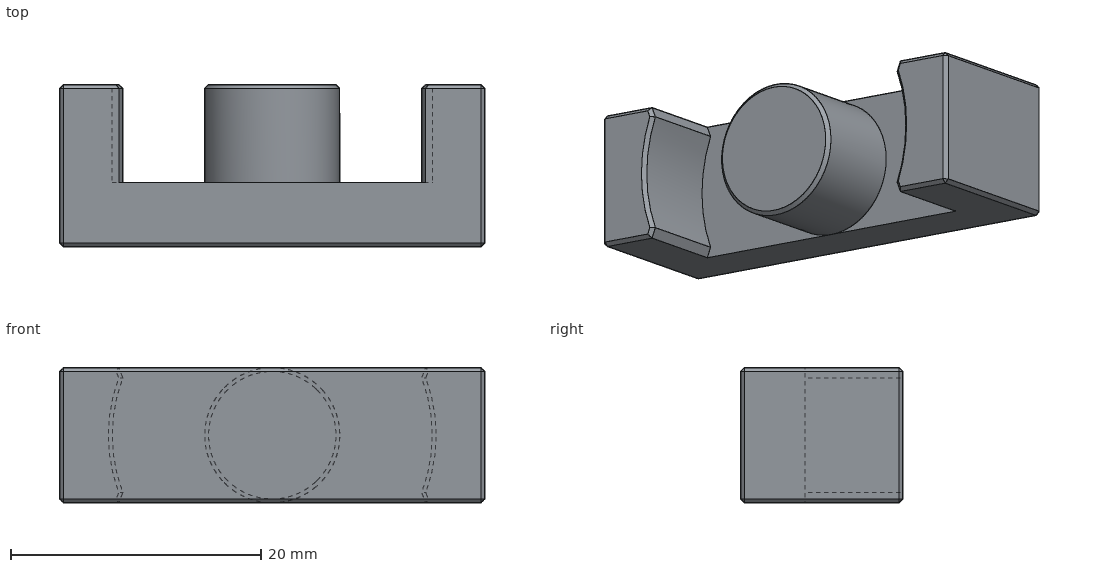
import cadquery as cq

length = 34.0
depth = 13.0
height = 10.8

window_diameter = 25.6
window_depth = 7.82
post_diameter = 10.8

flare_mouth_width = 24.55
flare_throat_width = 23.9
flare_height = 0.8

edge_chamfer = 0.3
bevel_angle = 45

back_thickness = depth - window_depth


def window_floor():
    """Workplane on the window floor, facing +Y, with vertical sketch positions along Z."""
    plane = cq.Plane(origin=(0, back_thickness, 0), xDir=(-1, 0, 0), normal=(0, 1, 0))
    return cq.Workplane(plane)


def flare_outline(sketch, side):
    """Wedge that widens the window at the top (side=1) or bottom (side=-1) face."""
    mouth_z = side * height / 2
    throat_z = side * (height / 2 - flare_height)
    outline = [
        (-flare_mouth_width / 2, mouth_z),
        (flare_mouth_width / 2, mouth_z),
        (flare_throat_width / 2, throat_z),
        (-flare_throat_width / 2, throat_z),
    ]
    return sketch.polyline(outline).close()


def window_cutters():
    """Solids that open the window, each spreading into a bevel at the leg ends."""
    cutters = []
    leg_end = window_floor().workplane(offset=window_depth - edge_chamfer)
    for sketch, distance, taper in (
        (window_floor(), window_depth, 0),
        (leg_end, edge_chamfer, -bevel_angle),
    ):
        cutters.append(sketch.circle(window_diameter / 2).extrude(distance, taper=taper))
        for side in (1, -1):
            cutters.append(flare_outline(sketch, side).extrude(distance, taper=taper))
    return cutters


def make_yoke():
    """Back bar with two outer legs, chamfered along the outer edges and leg ends."""
    block = cq.Workplane("XY").box(length, depth, height, centered=(True, False, True))
    yoke = block.edges().chamfer(edge_chamfer)
    for cutter in window_cutters():
        yoke = yoke.cut(cutter)
    return yoke


def make_post():
    """Round centre post with a chamfered free end."""
    post = window_floor().circle(post_diameter / 2).extrude(window_depth)
    return post.faces(">Y").edges().chamfer(edge_chamfer)


result = make_yoke().union(make_post())